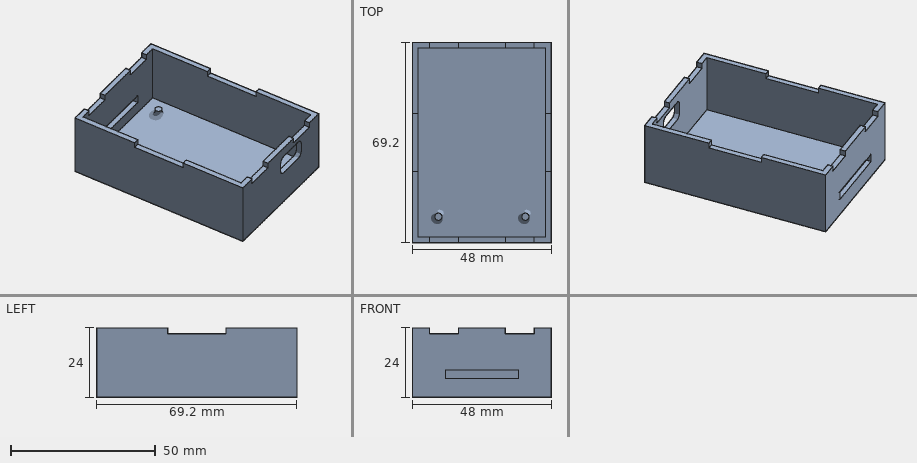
import cadquery as cq

length_x = 48.0
length_y = 69.2
height = 24.0
wall = 2.0

notch_depth = wall
end_notch_width = 10.0
end_notch_offset = 13.1
side_notch_width = 20.0

slot_width = 25.2
slot_height = 3.0
slot_bottom = 6.45

window_width = 13.0
window_height = 7.35
window_center_x = -6.45
window_bottom = 12.95
window_corner_radius = 2.0

peg_diameter = 2.5
peg_height = 3.0
peg_foot_radius = 2.0
peg_offset_x = 15.0
peg_from_end = 9


def block(size_x, size_y, size_z, x=0, y=0, bottom=0):
    """Box centred on x and y, standing on the given bottom height."""
    box = cq.Workplane("XY").box(size_x, size_y, size_z, centered=(True, True, False))
    return box.translate((x, y, bottom))


def make_tray():
    cavity = block(length_x - 2 * wall, length_y - 2 * wall, height, bottom=wall)
    return block(length_x, length_y, height).cut(cavity)


def make_rim_notches():
    bottom = height - notch_depth
    notches = block(length_x, side_notch_width, notch_depth, bottom=bottom)
    for side in (-1, 1):
        x = side * end_notch_offset
        notches = notches.union(block(end_notch_width, length_y, notch_depth, x=x, bottom=bottom))
    return notches


def make_slot():
    wall_center_y = -(length_y - wall) / 2
    return block(slot_width, wall, slot_height, y=wall_center_y, bottom=slot_bottom)


def make_window():
    wall_center_y = (length_y - wall) / 2
    window = block(window_width, wall, window_height, window_center_x, wall_center_y, window_bottom)
    return window.edges("|Y").fillet(window_corner_radius)


def make_peg(x, y):
    """Revolve the peg profile, its concave foot flowing into the floor."""
    radius = peg_diameter / 2
    foot_top = wall + peg_foot_radius
    profile = (
        cq.Workplane("XZ")
        .lineTo(radius + peg_foot_radius, 0)
        .lineTo(radius + peg_foot_radius, wall)
        .radiusArc((radius, foot_top), peg_foot_radius)
        .lineTo(radius, wall + peg_height)
        .lineTo(0, wall + peg_height)
        .close()
    )
    return profile.revolve(360, (0, 0), (0, 1)).translate((x, y, 0))


result = make_tray().cut(make_rim_notches()).cut(make_slot()).cut(make_window())
for side in (-1, 1):
    result = result.union(make_peg(side * peg_offset_x, peg_from_end - length_y / 2))